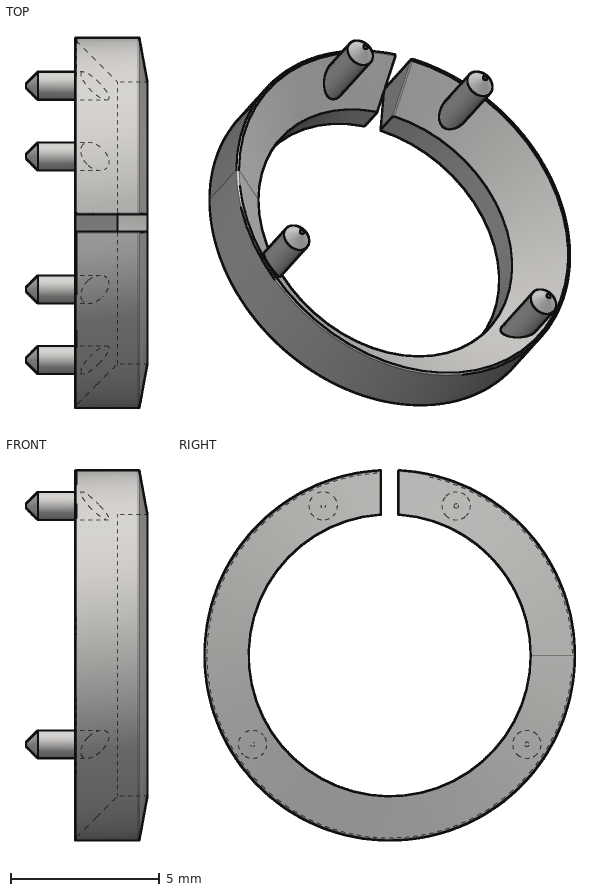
import cadquery as cq
import math

outer_radius = 6.25
bore_radius = 4.75
bore_start = 3.09
rim_end = 3.82
ring_end = 4.1
edge_round = 0.05

slot_width = 0.57
tolerance = 0.001

pin_radius = 0.47
pin_tip_radius = 0.07
pin_tip_length = pin_radius - pin_tip_radius
pin_end = 3.0
pin_circle_radius = 5.51
pin_angles = (24.0, 123.0, -123.0, -24.0)


def make_ring():
    """Revolve the wall section: 45 degree inner cone, bore and shallow back cone."""
    mouth_start = bore_start - (outer_radius - bore_radius)
    section = (
        cq.Workplane("XY")
        .moveTo(mouth_start, outer_radius)
        .lineTo(rim_end, outer_radius)
        .lineTo(ring_end, bore_radius)
        .lineTo(bore_start, bore_radius)
        .close()
    )
    return section.revolve(360, (0, 0, 0), (1, 0, 0))


def is_rounded(edge):
    """Tell whether an edge stands clear of the bore and of the half-turn seam lines at Z = 0."""
    middle = edge.positionAt(0.5)
    is_seam = abs(middle.z) < tolerance
    return not is_seam and math.hypot(middle.y, middle.z) > bore_radius + tolerance


def cut_slot(ring):
    """Split the ring at +Z and round every edge except those on the bore."""
    slot = cq.Workplane("XY").box(
        ring_end, slot_width, outer_radius, centered=(False, True, False)
    )
    return ring.cut(slot).edges().filter(is_rounded).fillet(edge_round)


def make_pin(angle):
    """Pin along X with a blunt conical point."""
    turn = math.radians(angle)
    pin = (
        cq.Workplane("XY")
        .lineTo(0, pin_tip_radius)
        .lineTo(pin_tip_length, pin_radius)
        .lineTo(pin_end, pin_radius)
        .lineTo(pin_end, 0)
        .close()
        .revolve(360, (0, 0, 0), (1, 0, 0))
    )
    return pin.translate((0, pin_circle_radius * math.sin(turn), pin_circle_radius * math.cos(turn)))


result = cut_slot(make_ring())
for pin_angle in pin_angles:
    result = result.union(make_pin(pin_angle))